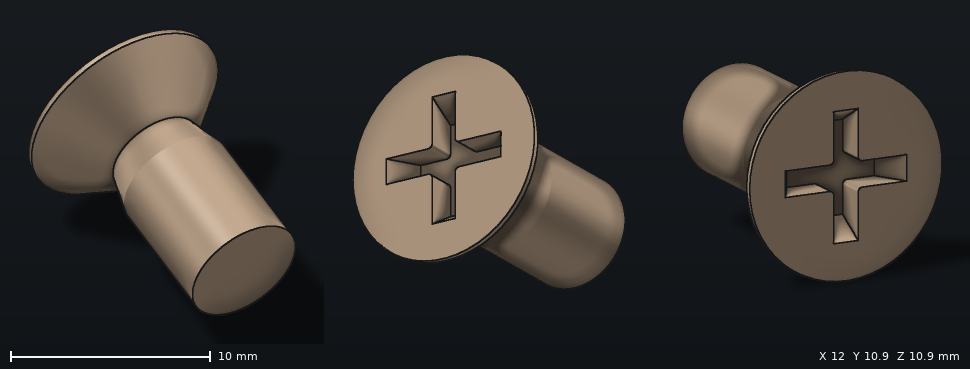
import cadquery as cq

total_length = 12.0
head_diameter = 10.87
rim_thickness = 0.32
neck_position = 3.28
neck_diameter = 4.9
shank_position = 5.28
shank_diameter = 6.0

recess_depth = 1.68
slot_width = 1.37
slot_mouth_length = 6.84
slot_floor_length = 4.92
inner_corner_radius = 0.24


def screw_body():
    """Turn the rim, countersink, neck taper and shank about the X axis."""
    return (
        cq.Workplane("XY")
        .lineTo(0, head_diameter / 2)
        .lineTo(rim_thickness, head_diameter / 2)
        .lineTo(neck_position, neck_diameter / 2)
        .lineTo(shank_position, shank_diameter / 2)
        .lineTo(total_length, shank_diameter / 2)
        .lineTo(total_length, 0)
        .close()
        .revolve(360, (0, 0, 0), (1, 0, 0))
    )


def recess_slot():
    """One slot along Y, narrowing in length with depth."""
    return (
        cq.Workplane("XY")
        .polyline([
            (0, -slot_mouth_length / 2),
            (0, slot_mouth_length / 2),
            (recess_depth, slot_floor_length / 2),
            (recess_depth, -slot_floor_length / 2),
        ])
        .close()
        .extrude(slot_width / 2, both=True)
    )


def cross_recess():
    """Two crossed slots with rounded corners where the arms meet."""
    slot = recess_slot()
    cross = slot.union(slot.rotate((0, 0, 0), (1, 0, 0), 90))
    corner_zone = cq.selectors.BoxSelector(
        (0, -slot_width, -slot_width),
        (recess_depth, slot_width, slot_width),
    )
    return cross.edges("|X").edges(corner_zone).fillet(inner_corner_radius)


result = screw_body().cut(cross_recess())